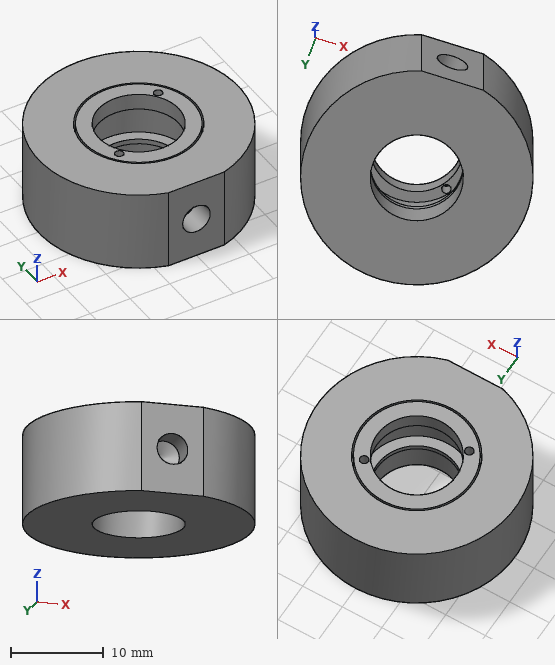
import cadquery as cq
import math

outer_diameter = 25.0
height = 10.0
flat_offset = 12.0

thread_diameter = 14.0
bore_diameter = 10.0
seat_height = 3.25

radial_hole_diameter = 3.45
radial_hole_depth = 3.0
radial_cone_angle = 118.0

ring_diameter = 13.6
ring_thickness = 2.0
spanner_hole_diameter = 1.0
spanner_hole_radius = 5.68
spanner_hole_angle = 37.2

washer_inner_diameter = bore_diameter
washer_diameter = 12.5
washer_thickness = 0.62


def disc(diameter, thickness, base):
    return cq.Workplane("XY").workplane(offset=base).circle(diameter / 2).extrude(thickness)


def make_radial_hole():
    """Drilled hole entering from the flat and ending in a cone."""
    radius = radial_hole_diameter / 2
    shoulder = -flat_offset + radial_hole_depth
    tip = shoulder + radius / math.tan(math.radians(radial_cone_angle / 2))
    profile = [(0, -flat_offset), (radius, -flat_offset), (radius, shoulder), (0, tip)]
    hole = cq.Workplane("XY").polyline(profile).close().revolve(360, (0, 0), (0, 1))
    return hole.translate((0, 0, height / 2))


def make_collar():
    body = disc(outer_diameter, height, 0)
    flat_cut = cq.Workplane("XY").box(
        outer_diameter, outer_diameter, height, centered=(True, False, False)
    ).translate((0, -flat_offset - outer_diameter, 0))
    body = body.cut(flat_cut)
    body = body.cut(disc(bore_diameter, height, 0))
    body = body.cut(disc(washer_diameter, height, seat_height))
    body = body.cut(disc(thread_diameter, ring_thickness, height - ring_thickness))
    return body.cut(make_radial_hole())


def make_retaining_ring():
    base = height - ring_thickness
    ring = disc(ring_diameter, ring_thickness, base)
    ring = ring.cut(disc(bore_diameter, ring_thickness, base))
    for angle in (spanner_hole_angle, spanner_hole_angle + 180):
        x = spanner_hole_radius * math.cos(math.radians(angle))
        y = spanner_hole_radius * math.sin(math.radians(angle))
        hole = disc(spanner_hole_diameter, ring_thickness, base).translate((x, y, 0))
        ring = ring.cut(hole)
    return ring


def make_washer():
    washer = disc(washer_diameter, washer_thickness, seat_height)
    return washer.cut(disc(washer_inner_diameter, washer_thickness, seat_height))


collar = make_collar()
retaining_ring = make_retaining_ring()
washer = make_washer()
result = cq.Compound.makeCompound([collar.val(), retaining_ring.val(), washer.val()])